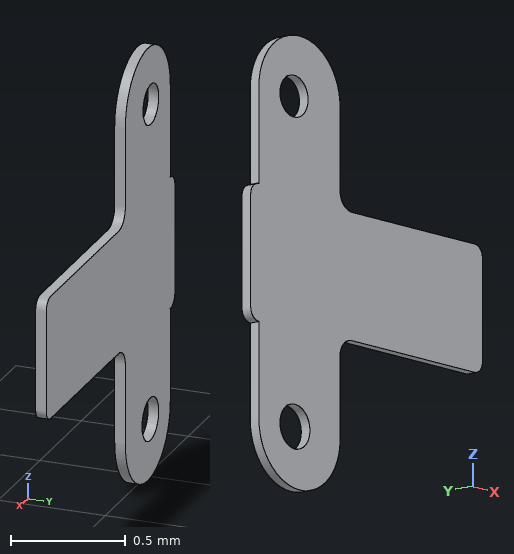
import cadquery as cq

length = 2.03
width = 1.55
thickness = 0.05

strip_width = 0.545
strip_radius = strip_width / 2
strip_left = 0.055
strip_center = strip_left + strip_radius
strip_right = strip_left + strip_width

pad_height = 0.617
pad_corner_radius = 0.055

arm_height = 0.575
arm_corner_radius = 0.053
arm_root_radius = 0.081

upper_hole_diameter = 0.187
upper_hole_x = 0.29
upper_hole_z = 0.739
lower_hole_diameter = 0.199
lower_hole_x = 0.296
lower_hole_z = -0.737


def plate(x_min, x_max, height):
    """Rectangular sheet between two X positions, centred on Z = 0."""
    return (
        cq.Workplane("XY")
        .box(x_max - x_min, thickness, height)
        .translate(((x_min + x_max) / 2, 0, 0))
    )


def hole(x, z, diameter):
    """Cylinder that cuts right through the sheet."""
    return (
        cq.Workplane("XZ")
        .center(x, z)
        .circle(diameter / 2)
        .extrude(thickness, both=True)
    )


strip = (
    cq.Workplane("XZ")
    .center(strip_center, 0)
    .slot2D(length, strip_width, 90)
    .extrude(thickness / 2, both=True)
)
pad = plate(0, strip_center, pad_height).edges("|Y and <X").fillet(pad_corner_radius)
arm = plate(strip_center, width, arm_height).edges("|Y and >X").fillet(arm_corner_radius)

body = strip.union(pad).union(arm)

arm_roots = cq.selectors.BoxSelector(
    (strip_right - arm_root_radius, -thickness, -arm_height),
    (strip_right + arm_root_radius, thickness, arm_height),
)
body = body.edges("|Y").edges(arm_roots).fillet(arm_root_radius)

result = body.cut(hole(upper_hole_x, upper_hole_z, upper_hole_diameter)).cut(
    hole(lower_hole_x, lower_hole_z, lower_hole_diameter)
)